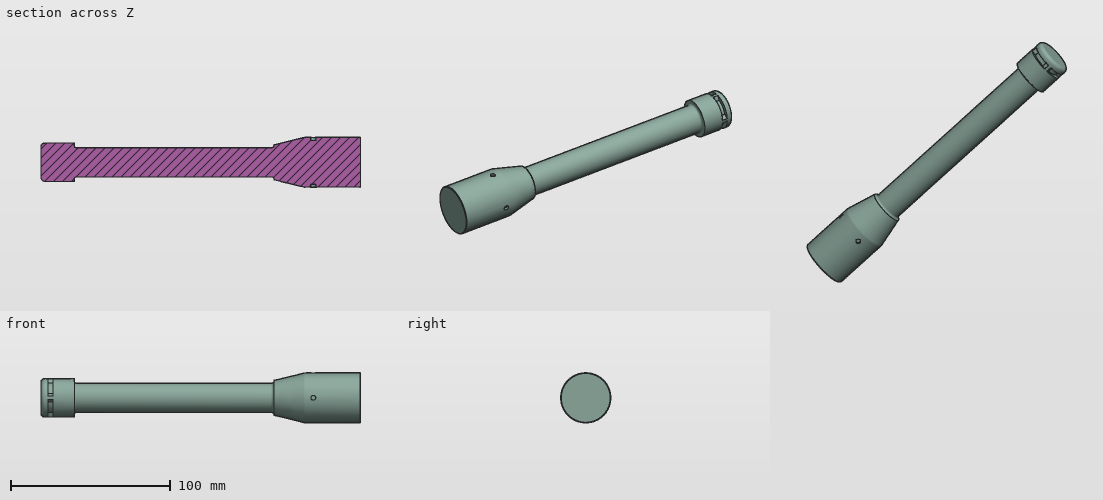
import cadquery as cq
import math

total_length = 200.3
head_length = 21.0
collar_start = 146.0
socket_start = 165.2

head_diameter = 24.2
head_radius = head_diameter / 2
tube_radius = 9.2
collar_radius = 11.0
socket_diameter = 31.5
socket_radius = socket_diameter / 2

nose_fillet = 2.6
head_root_fillet = 1.2
collar_root_fillet = 1.6
shoulder_fillet = 3.0
rim_chamfer = 0.5

slot_start = 4.5
slot_width = 3.5
web_half_width_outside = 1.0
web_half_width_at_floor = 2.6
web_floor_height = 9.2
slot_cutter_overshoot = 2.0

hole_radius = 1.5
hole_depth = 2.0
hole_position = 170.6

quarter_turns = (0, 90, 180, 270)


def turned_about_axis(shape, angle):
    """Turn a shape about the long axis of the part."""
    return shape.rotate((0, 0, 0), (1, 0, 0), angle)


def make_body():
    """Revolve the stepped handle outline about the X axis and soften the shoulder."""
    head_root_radius = tube_radius + head_root_fillet
    collar_root_radius = tube_radius + collar_root_fillet
    outline = (
        cq.Workplane("XY")
        .lineTo(0, head_radius - nose_fillet)
        .radiusArc((nose_fillet, head_radius), nose_fillet)
        .lineTo(head_length, head_radius)
        .lineTo(head_length, head_root_radius)
        .radiusArc((head_length + head_root_fillet, tube_radius), -head_root_fillet)
        .lineTo(collar_start - collar_root_fillet, tube_radius)
        .radiusArc((collar_start, collar_root_radius), -collar_root_fillet)
        .lineTo(collar_start, collar_radius)
        .lineTo(socket_start, socket_radius)
        .lineTo(total_length - rim_chamfer, socket_radius)
        .lineTo(total_length, socket_radius - rim_chamfer)
        .lineTo(total_length, 0)
        .close()
    )
    body = outline.revolve(360, (0, 0, 0), (1, 0, 0))
    margin = shoulder_fillet / 2
    shoulder = cq.selectors.BoxSelector(
        (socket_start - margin, -socket_radius, -socket_radius),
        (socket_start + margin, socket_radius, socket_radius),
        boundingbox=False,
    )
    return body.edges("%CIRCLE").edges(shoulder).fillet(shoulder_fillet)


def make_slot_cutter():
    """Arc slot in the +Y +Z quarter: round floor, sides opening outward."""
    floor_radius = math.hypot(web_half_width_at_floor, web_floor_height)
    floor_middle = floor_radius * math.sqrt(0.5)

    side_slope = (web_half_width_at_floor - web_half_width_outside) / (head_radius - web_floor_height)
    outer_height = head_radius + slot_cutter_overshoot
    outer_offset = web_half_width_outside - side_slope * slot_cutter_overshoot

    outline = (
        cq.Workplane("YZ", origin=(slot_start, 0, 0))
        .moveTo(web_floor_height, web_half_width_at_floor)
        .threePointArc(
            (floor_middle, floor_middle),
            (web_half_width_at_floor, web_floor_height),
        )
        .lineTo(outer_offset, outer_height)
        .lineTo(outer_height, outer_height)
        .lineTo(outer_height, outer_offset)
        .close()
    )
    return outline.extrude(slot_width)


def make_hole_cutter():
    """Radial blind hole on the +Z side of the socket."""
    return (
        cq.Workplane("XY", origin=(hole_position, 0, socket_radius - hole_depth))
        .circle(hole_radius)
        .extrude(2 * hole_depth)
    )


result = make_body()
for angle in quarter_turns:
    result = result.cut(turned_about_axis(make_slot_cutter(), angle))
    result = result.cut(turned_about_axis(make_hole_cutter(), angle))